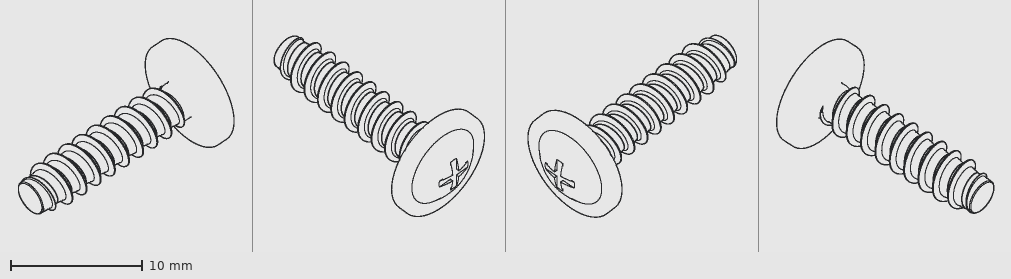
import cadquery as cq
import math


flange_radius = 4.5
flange_thickness = 1.03
flange_edge_radius = 0.06
dome_base_radius = 3.3
dome_height = 1.43
head_height = 2.44
slot_width = 0.64
slot_depth = 0.25

shank_length = 16.0
tip_cone_height = 0.04
tip_cone_radius = 1.33
core_radius = 1.39
neck_radius = 1.58
neck_fillet = 0.58
neck_end = -0.98
neck_taper_length = 0.7

pitch = 1.46
first_crest = -1.75
crest_radius = 2.0
crest_width = 0.10
flank_break_radius = 1.55
flank_break_offset = 0.24
upper_foot_offset = 0.48
root_radius = 1.53
lower_flank_offset = 0.24
root_end_radius = 1.41
root_gap = 0.03
burial = 0.1

upper_fade_start = -0.5
upper_fade_rate = 0.43
lower_fade_start = -8.25
lower_fade_rate = 0.69
least_height = 0.1
points_per_turn = 12


def make_head():
    flange = (
        cq.Workplane("XY")
        .circle(flange_radius)
        .extrude(flange_thickness)
        .edges()
        .fillet(flange_edge_radius)
    )
    sphere_radius = (dome_base_radius**2 + dome_height**2) / (2 * dome_height)
    half_angle = math.asin(dome_base_radius / sphere_radius) / 2
    arc_mid = (
        sphere_radius * math.sin(half_angle),
        flange_thickness + dome_height - sphere_radius * (1 - math.cos(half_angle)),
    )
    dome = (
        cq.Workplane("XZ")
        .lineTo(dome_base_radius, 0)
        .lineTo(dome_base_radius, flange_thickness)
        .threePointArc(arc_mid, (0, flange_thickness + dome_height))
        .close()
        .revolve(360, (0, 0), (0, 1))
    )
    head = flange.union(dome)
    for slot_size in ((2 * flange_radius, slot_width), (slot_width, 2 * flange_radius)):
        slot = (
            cq.Workplane("XY")
            .workplane(offset=head_height - slot_depth)
            .rect(*slot_size)
            .extrude(dome_height)
        )
        head = head.cut(slot)
    return head


def make_neck():
    fillet_mid = neck_fillet * (1 - math.sqrt(0.5))
    taper_slope = neck_taper_length / (neck_radius - core_radius)
    inner_radius = core_radius - burial
    taper_end = neck_end - taper_slope * (neck_radius - inner_radius)
    return (
        cq.Workplane("XZ")
        .moveTo(0, flange_thickness / 2)
        .lineTo(neck_radius + neck_fillet, flange_thickness / 2)
        .lineTo(neck_radius + neck_fillet, 0)
        .threePointArc((neck_radius + fillet_mid, -fillet_mid), (neck_radius, -neck_fillet))
        .lineTo(neck_radius, neck_end)
        .lineTo(inner_radius, taper_end)
        .lineTo(0, taper_end)
        .close()
        .revolve(360, (0, 0), (0, 1))
    )


def ridge_height(turn):
    """Share of the full thread height at a position along the helix."""
    upper = 1 - upper_fade_rate * (turn - upper_fade_start)
    lower = 1 - lower_fade_rate * (lower_fade_start - turn)
    return max(least_height, min(1, upper, lower))


def make_ridge_edge(radius, offset, first_turn, turn_count):
    """Helical edge through one corner of the thread profile; it fades towards the core at the ends."""
    turns = [first_turn + step / points_per_turn for step in range(turn_count * points_per_turn + 1)]
    points = []
    for turn in turns:
        angle = 2 * math.pi * turn
        faded_radius = radius
        faded_offset = offset
        if radius > core_radius:
            faded_radius = core_radius + (radius - core_radius) * ridge_height(turn)
        if radius > root_end_radius:
            faded_offset = offset * ridge_height(turn)
        points.append(
            cq.Vector(
                faded_radius * math.cos(angle),
                faded_radius * math.sin(angle),
                first_crest + turn * pitch + faded_offset,
            )
        )
    return cq.Edge.makeSpline(points, parameters=turns)


def make_thread_ridge():
    inner_radius = core_radius - burial
    root_end = upper_foot_offset - pitch + root_gap
    profile = [
        (inner_radius, upper_foot_offset),
        (root_end_radius, upper_foot_offset),
        (flank_break_radius, flank_break_offset),
        (crest_radius, crest_width / 2),
        (crest_radius, -crest_width / 2),
        (root_radius, -lower_flank_offset),
        (root_end_radius, root_end),
        (inner_radius, root_end),
    ]
    first_turn = -math.ceil((first_crest + shank_length) / pitch)
    last_turn = math.ceil((neck_end - first_crest - root_end) / pitch)
    edges = [make_ridge_edge(*corner, first_turn, last_turn - first_turn) for corner in profile]
    faces = [cq.Face.makeRuledSurface(edges[i - 1], edges[i]) for i in range(len(edges))]
    for end in (0, 1):
        corners = [edge.positionAt(end) for edge in edges]
        faces.append(cq.Face.makeFromWires(cq.Wire.makePolygon(corners, close=True)))
    return cq.Workplane(obj=cq.Solid.makeSolid(cq.Shell.makeShell(faces)))


def make_shank_envelope():
    """Solid of revolution that cuts the thread off at the neck and shapes the bevelled tip."""
    clear_radius = crest_radius + burial
    tip_edge = tip_cone_height - shank_length
    return (
        cq.Workplane("XZ")
        .moveTo(0, neck_end)
        .lineTo(clear_radius, neck_end)
        .lineTo(clear_radius, tip_edge + clear_radius - tip_cone_radius)
        .lineTo(tip_cone_radius, tip_edge)
        .lineTo(0, -shank_length)
        .close()
        .revolve(360, (0, 0), (0, 1))
    )


def make_threaded_shank():
    overrun = 2 * pitch
    core = (
        cq.Workplane("XY")
        .workplane(offset=-shank_length - overrun)
        .circle(core_radius)
        .extrude(shank_length + 2 * overrun)
    )
    return core.union(make_thread_ridge()).intersect(make_shank_envelope())


screw = make_head().union(make_neck()).union(make_threaded_shank())
result = screw.rotate((0, 0, 0), (1, 0, 0), -90)